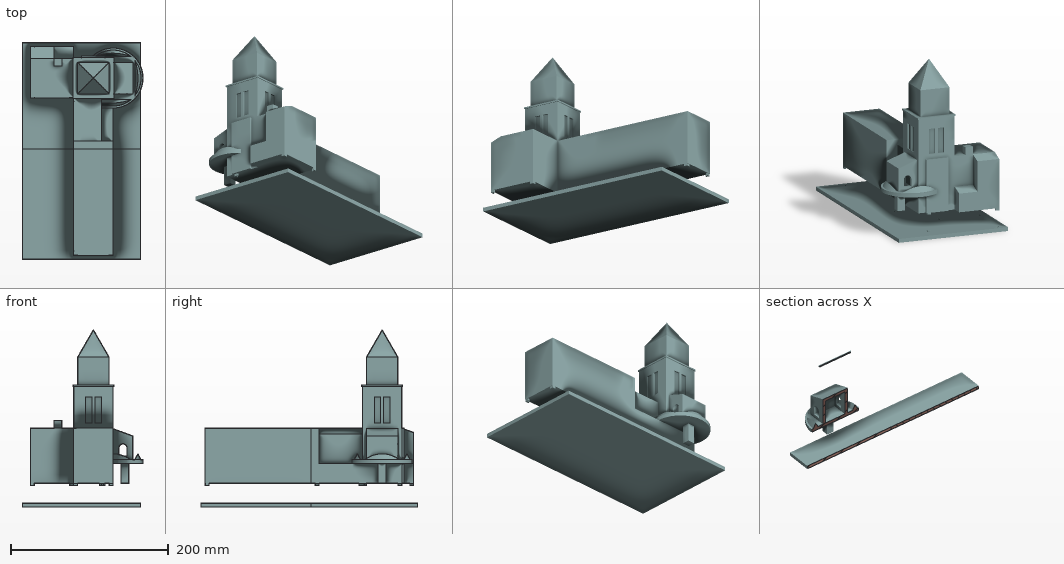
import cadquery as cq
import math

plate_thickness = 5.0
lift = 25.0
body_floor = plate_thickness + lift
body_height = 70.0
roof_level = body_floor + body_height
cornice_thickness = 2.0
tower_height = 53.0
tower_top = roof_level + tower_height
belfry_height = 35.0

base_width = 150.0
base_length = 275.0
plate_split = 140.0

margin_x = 10.0
margin_y = 5.0
wing_width = 50.0
wing_west = 65.0
wing_east = wing_west + wing_width
tower_south = 205.0
tower_north = tower_south + wing_width
north_end = base_length - margin_y
link_east = 100.0
link_south = 150.0
roof_pitch = 20.0
link_pitch = 12.0
annex_top = 55.0
porch_roof_west = 40.0
porch_eave = 60.0
chimney_size = 10.0

cornice_overhang = 1.0
belfry_width = 40.0
spire_pitch = 60.0
spire_height = belfry_width / 2 * math.tan(math.radians(spire_pitch))
window_width = 8.0
window_gap = 4.0
window_height = 33.0
window_sill = 6.5
window_depth = 2.0
buttress_width = 30.0
buttress_depth = 3.0

canopy_radius = 38.03
canopy_thickness = 5.0
rim_radius = 35.5
rim_half_width = 4.0
rim_height = 7.5
pillar_width = 10.0
pillar_offset = 15.0

chapel_length = 25.0
chapel_width = 40.0
chapel_wall = 5.0
arch_width = 10.0
arch_sill = 5.0
arch_crown = 20.0
chapel_step = 0.7

foot_length = 5.0
foot_thickness = 2.0
foot_height = 3.0
foot_inset = 0.5
tower_foot_x = 102.5
link_foot_x = 105.0

tower_x = (wing_west + wing_east) / 2
tower_y = (tower_south + tower_north) / 2
canopy_bottom = annex_top
canopy_top = canopy_bottom + canopy_thickness


def box(x0, x1, y0, y1, z0, z1):
    """Block between two opposite corners."""
    return cq.Workplane("XY").box(x1 - x0, y1 - y0, z1 - z0, centered=False).translate((x0, y0, z0))


def square_block(x, y, width, z0, height):
    """Square block centred on a vertical axis."""
    return cq.Workplane("XY").box(width, width, height, centered=(True, True, False)).translate((x, y, z0))


def foot(x, y, x_side, y_side, bend=0.0):
    """L-shaped foot with its outer corner at (x, y), legs along x_side and y_side.

    The bend lengthens both legs of a foot that wraps around an inside corner.
    """
    def leg(length_x, length_y):
        ends_x = sorted((x, x + x_side * length_x))
        ends_y = sorted((y, y + y_side * length_y))
        return box(*ends_x, *ends_y, body_floor - foot_height, body_floor)

    reach = foot_length + bend
    return leg(reach, foot_thickness).union(leg(foot_thickness, reach))


def north_feet():
    return [
        foot(margin_x, north_end, 1, -1),
        foot(margin_x, tower_south, 1, 1),
        foot(wing_west + foot_thickness, tower_south + foot_thickness + foot_inset, -1, -1, foot_thickness),
        foot(tower_foot_x, tower_north, -1, -1),
        foot(link_foot_x, link_south, -1, -1),
    ]


def south_feet():
    return [
        foot(wing_west, margin_y + foot_inset, 1, 1),
        foot(wing_east, margin_y + foot_inset, -1, 1),
    ]


def base_plate(y0, y1, feet):
    """Plate with a socket under each foot."""
    plate = box(0, base_width, y0, y1, 0, plate_thickness)
    for one_foot in feet:
        plate = plate.cut(one_foot.translate((0, 0, plate_thickness - body_floor)))
    return plate


def lean_to_roof_block(x0, x1, high_level):
    """Block north of the tower line whose roof falls to the north."""
    depth = north_end - tower_north
    drop = depth * math.tan(math.radians(roof_pitch))
    outline = [
        (tower_north, body_floor),
        (north_end, body_floor),
        (north_end, high_level - drop),
        (tower_north, high_level),
    ]
    return cq.Workplane("YZ").polyline(outline).close().extrude(x1 - x0).translate((x0, 0, 0))


def west_wing():
    wing = box(margin_x, wing_west, tower_south, tower_north, body_floor, roof_level)
    wing = wing.union(lean_to_roof_block(margin_x, porch_roof_west, roof_level))
    wing = wing.union(lean_to_roof_block(porch_roof_west, wing_west, porch_eave))
    chimney = box(
        porch_roof_west, porch_roof_west + chimney_size,
        tower_north - chimney_size, tower_north, roof_level, roof_level + chimney_size,
    )
    return wing.union(chimney)


def link():
    """Link from the tower to the south wing, with a roof falling east and a low annex beside it."""
    width = link_east - wing_west
    drop = width * math.tan(math.radians(link_pitch))
    outline = [
        (wing_west, body_floor),
        (link_east, body_floor),
        (link_east, roof_level - drop),
        (wing_west, roof_level),
    ]
    block = cq.Workplane("XZ").polyline(outline).close().extrude(tower_south - link_south)
    block = block.translate((0, tower_south, 0))
    block = block.union(box(link_east, wing_east, link_south, tower_south, body_floor, annex_top))
    return block.union(box(wing_west, wing_east, plate_split, link_south, body_floor, roof_level))


def tower():
    shaft = square_block(tower_x, tower_y, wing_width, body_floor, tower_top - body_floor)
    buttress = box(
        tower_x - buttress_width / 2, tower_x + buttress_width / 2,
        tower_north, tower_north + buttress_depth, body_floor, roof_level,
    )
    window_offset = (window_width + window_gap) / 2
    for quarter in range(4):
        for side in (-1, 1):
            window = box(
                side * window_offset - window_width / 2, side * window_offset + window_width / 2,
                -wing_width / 2, -wing_width / 2 + window_depth,
                roof_level + window_sill, roof_level + window_sill + window_height,
            )
            window = window.rotate((0, 0, 0), (0, 0, 1), 90 * quarter)
            shaft = shaft.cut(window.translate((tower_x, tower_y, 0)))
    return shaft.union(buttress)


def canopy_plan(radius, height):
    """Disc about the tower's east face whose south half runs straight west to the link."""
    disc = cq.Workplane("XY").circle(radius).extrude(height)
    strip = box(link_east - wing_east, 0, -radius, 0, 0, height)
    return disc.union(strip)


def canopy_rim():
    """Sloped rim: conical outside, falling to a square flat inside."""
    slope = rim_height / rim_half_width
    peak_radius = rim_radius / 2
    cone_height = (rim_radius - peak_radius) * slope
    cone = (
        cq.Workplane("XY").circle(rim_radius)
        .workplane(offset=cone_height).circle(peak_radius).loft(ruled=True)
    )
    run = wing_east - link_east
    profile = [
        (-rim_radius, 0),
        (-rim_radius + cone_height / slope, cone_height),
        (0, cone_height),
        (0, 0),
    ]
    ridge = cq.Workplane("YZ").polyline(profile).close().extrude(-run)
    flat_half = rim_radius - 2 * rim_half_width
    top_half = flat_half + cone_height / slope
    hollow = (
        cq.Workplane("XY").rect(2 * flat_half, 2 * flat_half)
        .workplane(offset=cone_height).rect(2 * top_half, 2 * top_half).loft(ruled=True)
    )
    return cone.union(ridge).cut(hollow)


def canopy():
    roof = canopy_plan(canopy_radius, canopy_thickness)
    roof = roof.union(canopy_rim().translate((0, 0, canopy_thickness)))
    roof = roof.translate((wing_east, tower_y, canopy_bottom))
    pillar = square_block(
        wing_east + pillar_offset, tower_y, pillar_width, body_floor, canopy_bottom - body_floor
    )
    return roof.union(pillar)


def arch_prism(depth):
    """Round-headed opening centred on the Z axis and running from Y = 0 toward -Y."""
    half = arch_width / 2
    spring = arch_crown - half
    return (
        cq.Workplane("XZ")
        .moveTo(-half, arch_sill)
        .lineTo(half, arch_sill)
        .lineTo(half, spring)
        .threePointArc((0, arch_crown), (-half, spring))
        .close()
        .extrude(depth)
    )


def chapel():
    """Hollow chapel against the tower with arched openings through its north and south walls."""
    east = wing_east + chapel_length
    south = tower_y - chapel_width / 2
    north = tower_y + chapel_width / 2
    pitch_slope = math.tan(math.radians(roof_pitch))

    def shell(x1, y0, y1, thickness):
        top = roof_level - chapel_step - thickness
        outline = [
            (wing_east, canopy_top),
            (x1, canopy_top),
            (x1, top - (x1 - wing_east) * pitch_slope),
            (wing_east, top),
        ]
        return cq.Workplane("XZ", origin=(0, y1, 0)).polyline(outline).close().extrude(y1 - y0)

    walls = shell(east, south, north, 0)
    room = shell(east - chapel_wall, south + chapel_wall, north - chapel_wall, chapel_wall)
    arch = arch_prism(chapel_width)
    arch = arch.translate((wing_east + chapel_length / 2, north, canopy_top))
    return walls.cut(room).cut(arch)


def north_building():
    body = tower().union(west_wing()).union(link())
    body = body.union(canopy().cut(square_block(tower_x, tower_y, wing_width, 0, tower_top)))
    body = body.union(chapel())
    for one_foot in north_feet():
        body = body.union(one_foot)
    return body.clean()


def south_wing():
    wing = box(wing_west, wing_east, margin_y, plate_split, body_floor, roof_level)
    for one_foot in south_feet():
        wing = wing.union(one_foot)
    return wing


def tower_cap():
    """Cornice, belfry and pyramid spire standing on the tower."""
    cornice = square_block(tower_x, tower_y, wing_width + 2 * cornice_overhang, tower_top, cornice_thickness)
    belfry_floor = tower_top + cornice_thickness
    belfry = square_block(tower_x, tower_y, belfry_width, belfry_floor, belfry_height)
    half = belfry_width / 2
    corners = [(-half, -half, 0), (half, -half, 0), (half, half, 0), (-half, half, 0)]
    base = [cq.Vector(*corner) for corner in corners]
    apex = cq.Vector(0, 0, spire_height)
    faces = [cq.Face.makeFromWires(cq.Wire.makePolygon(base, close=True))]
    for index in range(4):
        triangle = [base[index], base[(index + 1) % 4], apex]
        faces.append(cq.Face.makeFromWires(cq.Wire.makePolygon(triangle, close=True)))
    spire = cq.Workplane(cq.Solid.makeSolid(cq.Shell.makeShell(faces)))
    spire = spire.translate((tower_x, tower_y, belfry_floor + belfry_height))
    return cornice.union(belfry).union(spire)


north_plate = base_plate(plate_split, base_length, north_feet())
south_plate = base_plate(0, plate_split, south_feet())

result = cq.Compound.makeCompound([
    north_plate.val(),
    south_plate.val(),
    north_building().val(),
    south_wing().val(),
    tower_cap().val(),
])